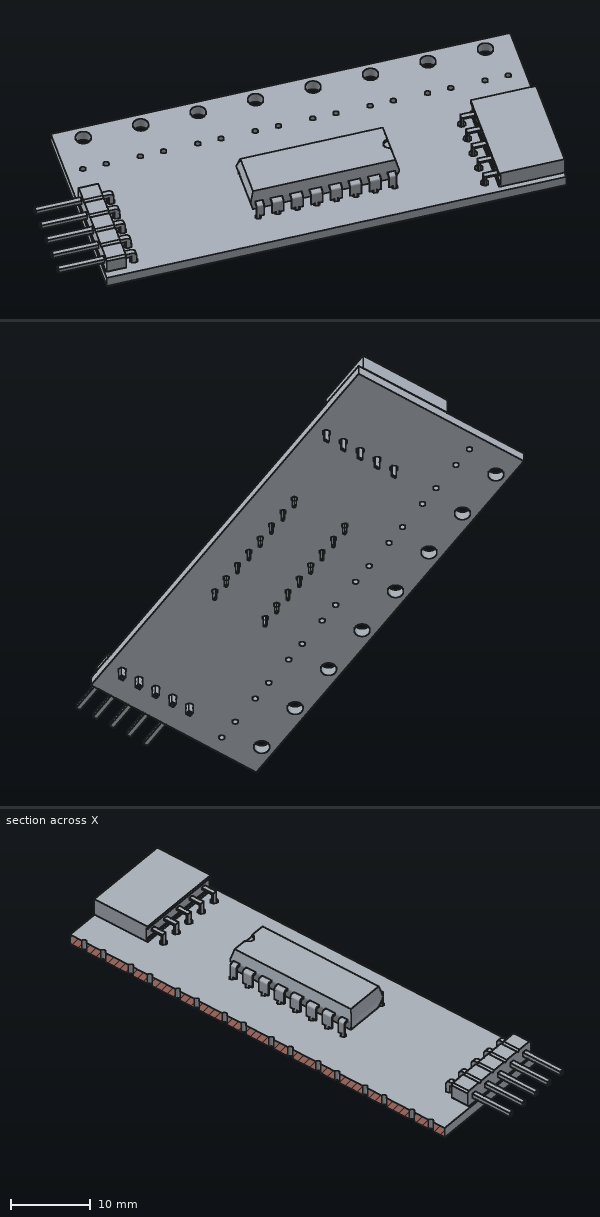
import cadquery as cq
import math


board_width = 25.0
board_length = 60.0
board_thickness = 1.6

header_pins = 5
pin_pitch = 12.7 / header_pins
pin_size = 0.64
pin_hole_diameter = 1.0
tail_length = 1.6
first_pin_x = 12.85
header_hole_y = 4.1

edge_hole_count = 8
edge_hole_diameter = 2.0
edge_hole_x = 1.7
edge_hole_pitch = board_length / edge_hole_count
small_hole_diameter = 0.7
small_hole_x = 6.7
small_hole_offset = 1.5

connector_width = header_pins * pin_pitch
connector_height = pin_pitch
connector_x = first_pin_x + (header_pins - 1) * pin_pitch / 2
connector_clearance = 0.05
connector_top_z = connector_clearance + connector_height
connector_mid_z = (connector_clearance + connector_top_z) / 2

header_depth = pin_pitch
header_setback = 0.2
header_reach = 5.9
groove_chamfer = 0.25
bend_radius = pin_size
pin_tip_chamfer = 0.165

socket_depth = 8.6
socket_recess_depth = 0.2
socket_flange = 0.4
socket_pin_thickness = 0.25
socket_hole_y = header_hole_y + 18 * pin_pitch

leads_per_side = 8
lead_row_spacing = 3 * pin_pitch
chip_x = first_pin_x + lead_row_spacing / 2
chip_y = board_length / 2
chip_width = 6.4
chip_length = 19.4
chip_clearance = 0.4
chip_top_z = 3.8
chip_inset = 0.4
lead_thickness = 0.25
lead_width = 1.5
lead_tail_width = 0.45
lead_bend_radius = 0.36
lead_shoulder_z = 0.2
lead_tip_chamfer = 0.1
lead_hole_diameter = 0.7
notch_radius = 0.7
notch_depth = 0.3

chip_mid_z = (chip_top_z + chip_clearance) / 2

pin_xs = [first_pin_x + i * pin_pitch for i in range(header_pins)]
lead_ys = [(i - (leads_per_side - 1) / 2) * pin_pitch for i in range(leads_per_side)]


def block(x0, x1, y0, y1, z0, z1):
    """Box between two opposite corners."""
    return cq.Workplane("XY").box(x1 - x0, y1 - y0, z1 - z0, centered=False).translate((x0, y0, z0))


def drill(body, points, diameter):
    """Cut straight holes through the board."""
    holes = cq.Workplane("XY").pushPoints(points).circle(diameter / 2).extrude(-board_thickness)
    return body.cut(holes)


def make_board():
    body = block(0, board_width, 0, board_length, -board_thickness, 0)

    edge_ys = [(i + 0.5) * edge_hole_pitch for i in range(edge_hole_count)]
    body = drill(body, [(edge_hole_x, y) for y in edge_ys], edge_hole_diameter)

    small_points = [(small_hole_x, y + side * small_hole_offset) for y in edge_ys for side in (-1, 1)]
    body = drill(body, small_points, small_hole_diameter)

    pin_points = [(x, y) for x in pin_xs for y in (header_hole_y, socket_hole_y)]
    body = drill(body, pin_points, pin_hole_diameter)

    row_offset = lead_row_spacing / 2
    lead_points = [(chip_x + side * row_offset, chip_y + y) for y in lead_ys for side in (-1, 1)]
    return drill(body, lead_points, lead_hole_diameter)


def make_header_pin(x):
    """Square pin that runs back through the header body and bends down into the board."""
    half = pin_size / 2
    bottom = -board_thickness - tail_length
    top = connector_mid_z + half
    rear = header_hole_y + half
    leg = block(x - half, x + half, header_hole_y - half, rear, bottom, top)
    leg = leg.faces("<Z").chamfer(pin_tip_chamfer)
    arm = block(x - half, x + half, -header_reach, rear, top - pin_size, top)
    arm = arm.faces("<Y").chamfer(pin_tip_chamfer)
    return leg.union(arm).edges(cq.selectors.NearestToPointSelector((x, rear, top))).fillet(bend_radius)


def make_header():
    rear = header_setback + header_depth
    header = None
    for x in pin_xs:
        unit = block(x - pin_pitch / 2, x + pin_pitch / 2, header_setback, rear, connector_clearance, connector_top_z)
        unit = unit.edges("|Y").chamfer(groove_chamfer)
        header = unit if header is None else header.union(unit)
    for x in pin_xs:
        header = header.union(make_header_pin(x))
    return header


def make_socket_pin(x, y_inside):
    """Flat strip that leaves the socket body and turns straight down into the board."""
    half_width = pin_size / 2
    half_thickness = socket_pin_thickness / 2
    outer_y = socket_hole_y - half_thickness
    top = connector_mid_z + half_thickness
    arm = block(x - half_width, x + half_width, outer_y, y_inside, top - socket_pin_thickness, top)
    leg = block(x - half_width, x + half_width, outer_y, outer_y + socket_pin_thickness,
                -board_thickness - tail_length, top)
    return arm.union(leg)


def make_socket():
    left = connector_x - connector_width / 2
    right = connector_x + connector_width / 2
    front = board_length - socket_depth
    recess_floor = front + socket_recess_depth

    socket = block(left, right, front, board_length, connector_clearance, connector_top_z)
    recess = block(left, right, front, recess_floor,
                   connector_clearance + socket_flange, connector_top_z - socket_flange)
    socket = socket.cut(recess)
    for x in pin_xs:
        socket = socket.union(make_socket_pin(x, recess_floor))
    return socket


def make_chip_body():
    """Moulded body: a thin straight band with a sloped half above and below it."""
    half_band = lead_thickness / 2
    slope_height = (chip_top_z - chip_clearance) / 2 - half_band
    slope_angle = math.degrees(math.atan(chip_inset / slope_height))
    band = cq.Workplane("XY").box(chip_width, chip_length, lead_thickness)
    upper = (
        cq.Workplane("XY", origin=(0, 0, half_band))
        .rect(chip_width, chip_length)
        .extrude(slope_height, taper=slope_angle)
    )
    body = band.union(upper).union(upper.mirror("XY"))

    notch = (
        cq.Workplane("XY", origin=(0, chip_length / 2 - chip_inset, half_band + slope_height))
        .circle(notch_radius)
        .extrude(-notch_depth)
    )
    return body.cut(notch)


def make_lead(y, y_start, y_end):
    """Lead on the +X side: a wide bent shoulder from y_start to y_end and a narrow tail at y."""
    outer = (lead_row_spacing + lead_thickness) / 2
    inner = outer - lead_thickness
    top = lead_thickness / 2
    bottom = -top
    inner_radius = lead_bend_radius - lead_thickness
    shoulder_end = lead_shoulder_z - chip_mid_z
    shoulder = (
        cq.Workplane("XZ", origin=(0, y_start, 0))
        .moveTo(chip_width / 2, top)
        .lineTo(outer - lead_bend_radius, top)
        .tangentArcPoint((outer, top - lead_bend_radius), relative=False)
        .lineTo(outer, shoulder_end)
        .lineTo(inner, shoulder_end)
        .lineTo(inner, bottom - inner_radius)
        .tangentArcPoint((inner - inner_radius, bottom), relative=False)
        .lineTo(chip_width / 2, bottom)
        .close()
        .extrude(y_start - y_end)
    )
    tail_end = -board_thickness - tail_length - chip_mid_z
    half_tail = lead_tail_width / 2
    tail = block(inner, outer, y - half_tail, y + half_tail, tail_end, shoulder_end)
    tail = tail.faces("<Z").edges("|X").chamfer(lead_tip_chamfer)
    return shoulder.union(tail)


def make_chip():
    chip = make_chip_body()
    for y in lead_ys:
        y_start = y - (lead_tail_width if y == lead_ys[0] else lead_width) / 2
        y_end = y + (lead_tail_width if y == lead_ys[-1] else lead_width) / 2
        lead = make_lead(y, y_start, y_end)
        chip = chip.union(lead).union(lead.mirror("YZ"))
    return chip.translate((chip_x, chip_y, chip_mid_z))


board = make_board()
header = make_header()
socket = make_socket()
chip = make_chip()

result = cq.Compound.makeCompound([board.val(), header.val(), socket.val(), chip.val()])